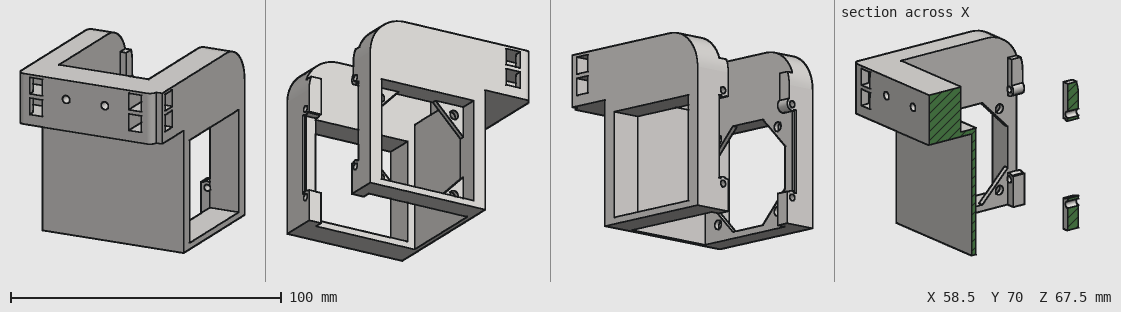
import cadquery as cq

width, depth, height = 58.5, 70.0, 67.5
head_width = 56.0
head_height = 19.75
box_front = 20.0
wall = 2.0
bay_width = 37.1
bay_front = 15.0
back_radius = 15.0
front_radius = 2.5

opening_size = 40.0
opening_floor = 2.5
opening_to_back = 5.0
plate_leg = 12.0
plate_hole_diameter = 3.5
plate_hole_inset = 4.0

front_hole_diameter = 3.0
front_hole_spacing = 16.0
front_hole_drop = 7.5

front_slot_start, front_slot_end = 4.8, 10.1
side_slot_start, side_slot_end = 4.9, 10.9
slot_height = 6.45
slot_drops = (1.1, 9.2)

tab_depth = 5.2
tab_width = 3.6
narrow_tab_width = 2.5
upper_tab_bottom, upper_tab_top = 43.5, 57.7
lower_tab_top = 12.1
tab_hole_diameter = 2.5
tab_boss_radius = 2.5
tab_hole_offset = 1.0
tab_hole_inset = 1.95

rebate = 1.0

bay_left = (head_width - bay_width) / 2
bay_right = bay_left + bay_width
head_floor = height - head_height
tab_front = depth - tab_depth
lower_hole_z = lower_tab_top - tab_hole_inset
upper_hole_z = upper_tab_bottom + tab_hole_inset
opening_y = (depth - opening_to_back - opening_size, depth - opening_to_back)
opening_z = (opening_floor, opening_floor + opening_size)


def block(x, y, z):
    """Axis-aligned block spanning the given (low, high) ranges."""
    size = (x[1] - x[0], y[1] - y[0], z[1] - z[0])
    return cq.Workplane("XY").box(*size, centered=False).translate((x[0], y[0], z[0]))


def cylinder_y(x, z, radius, y):
    """Cylinder along Y, spanning the (low, high) range y."""
    plane = cq.Workplane("XZ", origin=(x, y[0], z))
    return plane.circle(radius).extrude(y[0] - y[1])


def mirror_in_head(shape):
    """Mirror image about the middle of the head width."""
    return shape.mirror("YZ").translate((head_width, 0, 0))


def side_envelope():
    """Side outline with the overhanging head and the rounded top back edge."""
    return (
        cq.Workplane("YZ")
        .moveTo(box_front, 0)
        .lineTo(depth, 0)
        .lineTo(depth, height - back_radius)
        .radiusArc((depth - back_radius, height), -back_radius)
        .lineTo(0, height)
        .lineTo(0, head_floor)
        .lineTo(box_front, head_floor)
        .close()
        .extrude(width)
    )


def plan_envelope():
    """Plan outline: rounded front corners, and the thicker right arm starting behind its corner."""
    main = block((0, head_width), (0, depth), (0, height)).edges("|Z and <Y").fillet(front_radius)
    return main.union(block((bay_right, width), (front_radius, depth), (0, height)))


def bay():
    """Open bay: over the head floor at the front, and down through the box behind its front wall."""
    bay_x = (bay_left, bay_right)
    upper = block(bay_x, (bay_front, depth), (head_floor + wall, height))
    return upper.union(block(bay_x, (box_front + wall, depth), (0, height)))


def corner_plates():
    """Four drilled triangular plates flush with the inner face of the left arm."""
    square = block((bay_left - wall, bay_left), opening_y, opening_z)
    plates = square.cut(square.edges("|X").chamfer(plate_leg))
    pitch = opening_size - 2 * plate_hole_inset
    holes = (
        cq.Workplane("YZ", origin=(0, sum(opening_y) / 2, sum(opening_z) / 2))
        .rect(pitch, pitch, forConstruction=True)
        .vertices()
        .circle(plate_hole_diameter / 2)
        .extrude(bay_left)
    )
    return plates.cut(holes)


def front_holes():
    middle = head_width / 2
    z = height - front_hole_drop
    radius = front_hole_diameter / 2
    left = cylinder_y(middle - front_hole_spacing / 2, z, radius, (0, bay_front))
    return left.union(mirror_in_head(left))


def strap_channels(drop):
    """Channels from the front face to both side faces, around corner posts with a rounded inner edge."""
    z = (height - drop - slot_height, height - drop)
    post = block((0, front_slot_start), (0, side_slot_start), z)
    post = post.edges("|Z and >X and >Y").fillet(front_radius)
    left = block((0, front_slot_end), (0, side_slot_end), z).cut(post)
    right_exit = block((head_width - front_slot_start, width), (side_slot_start, side_slot_end), z)
    right = mirror_in_head(left).union(right_exit.cut(mirror_in_head(post)))
    return left.union(right)


def left_boss_cylinder(radius, z):
    """Cylinder through the tab depth on the axis of a screw hole in a left tab."""
    return cylinder_y(bay_left + tab_hole_offset, z, radius, (tab_front, depth))


def left_tab(tab_size, z, hole_z):
    """Undrilled tab on the left arm, with a boss around the place of its screw hole."""
    tab_y = (tab_front, depth)
    tab = block((bay_left, bay_left + tab_size), tab_y, z)
    boss = left_boss_cylinder(tab_boss_radius, hole_z)
    return tab.union(boss.intersect(block((bay_left, bay_right), tab_y, (0, height))))


def screw_tabs():
    upper_z = (upper_tab_bottom, upper_tab_top)
    lower = left_tab(tab_width, (0, lower_tab_top), lower_hole_z)
    upper_left = left_tab(narrow_tab_width, upper_z, upper_hole_z)
    upper_right = mirror_in_head(left_tab(tab_width, upper_z, upper_hole_z))
    return lower.union(mirror_in_head(lower)).union(upper_left).union(upper_right)


def screw_holes():
    """Screw holes through the tabs, which also graze the arms."""
    radius = tab_hole_diameter / 2
    left = left_boss_cylinder(radius, lower_hole_z).union(left_boss_cylinder(radius, upper_hole_z))
    return left.union(mirror_in_head(left))


def back_rebate():
    """Shallow step in the arms between the lower and the upper tabs."""
    rebate_x = (bay_left - rebate, bay_right + rebate)
    return block(rebate_x, (depth - rebate, depth), (lower_tab_top, upper_tab_bottom))


envelope = side_envelope()
body = envelope.intersect(plan_envelope())
body = body.cut(bay())
body = body.cut(block((0, width), opening_y, opening_z))
body = body.cut(back_rebate())
body = body.cut(front_holes())
for slot_drop in slot_drops:
    body = body.cut(strap_channels(slot_drop))
body = body.union(corner_plates())
body = body.union(screw_tabs().intersect(envelope))
result = body.cut(screw_holes())